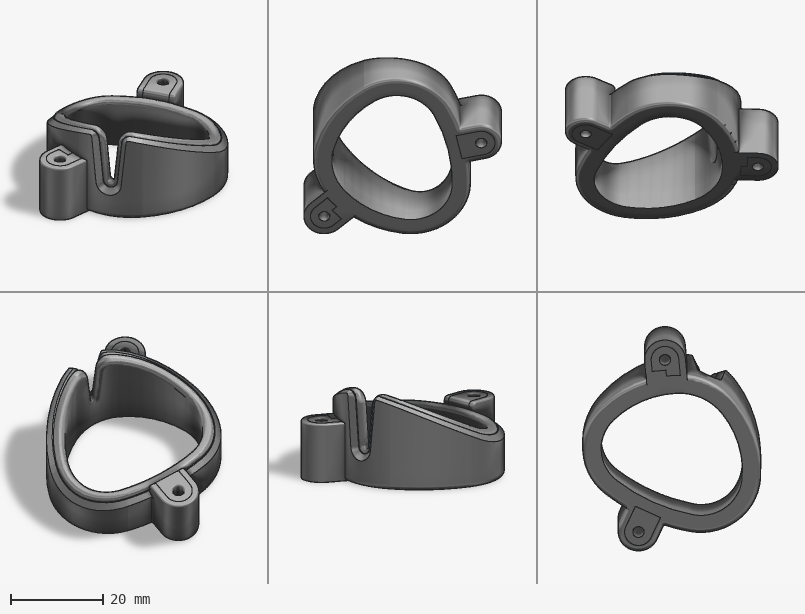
import cadquery as cq
import math

rear_y = 15.25
rear_radius = 42.3
side_radius = 13.0
flank_radius = 24.85
rear_turn = 13.7
side_turn = 110.6
flank_turn = 152.6
wall = 4.0

saddle_y = 7.85
saddle_z = 11.0
saddle_radius = 20.1
saddle_turn = 24.6
climb_radius = 119.25
climb_turn = 12.0
bead_radius = 1.0
rim_chamfer = 1.3
bead_inset = 1.47
shoulder_drop = 1.05
foot_radius = 0.95

slot_tip_z = 7.95
slot_tip_radius = 0.55
slot_lean = 5.5
slot_mouth_radius = 3.0
slot_inner_y = -10.15

lug_height = 13.0
lug_radius = 4.4
lug_edge = 0.4
rear_lug_y = 18.6
rear_lug_face_y = 13.67
rear_lug_nose = 1.0
rear_lug_root = 0.35
front_lug_x = -10.85
front_lug_y = -18.6
front_lug_angle = 30.0
front_core_step = 2.3
core_radius = 3.0
hole_diameter = 2.4
rear_lug_length = rear_lug_y - rear_lug_face_y
front_lug_length = 10.15

reach = 27.62
touch_tolerance = 0.0005


def along(point, angle, distance):
    """Point reached by going `distance` at `angle` degrees, clockwise from +Y."""
    turn = math.radians(angle)
    return (point[0] + distance * math.sin(turn), point[1] + distance * math.cos(turn))


rear_centre = (0.0, rear_y - rear_radius)
side_centre = along(rear_centre, rear_turn, rear_radius - side_radius)
flank_centre = along(side_centre, side_turn, side_radius - flank_radius)
front_radius = flank_radius + flank_centre[0] / math.sin(math.radians(flank_turn))
front_centre = along(flank_centre, flank_turn, flank_radius - front_radius)


def mirrored(point):
    return (-point[0], point[1])


def ring_prism(inset, height):
    """Solid prism of the ring outline, moved inward by `inset`."""
    rear = (0.0, rear_y - inset)
    side_start = along(rear_centre, rear_turn, rear_radius - inset)
    side_middle = along(side_centre, (rear_turn + side_turn) / 2, side_radius - inset)
    side_end = along(side_centre, side_turn, side_radius - inset)
    flank_middle = along(flank_centre, (side_turn + flank_turn) / 2, flank_radius - inset)
    flank_end = along(flank_centre, flank_turn, flank_radius - inset)
    front = along(front_centre, 180, front_radius - inset)
    return (
        cq.Workplane("XY")
        .moveTo(*mirrored(side_start))
        .threePointArc(rear, side_start)
        .threePointArc(side_middle, side_end)
        .threePointArc(flank_middle, flank_end)
        .threePointArc(front, mirrored(flank_end))
        .threePointArc(mirrored(flank_middle), mirrored(side_end))
        .threePointArc(mirrored(side_middle), mirrored(side_start))
        .close()
        .extrude(height)
    )


def above_rim(drop):
    """Everything above the saddle curve, lowered square to itself by `drop`."""
    saddle_centre = (saddle_y, saddle_z + saddle_radius)
    climb_centre = along(saddle_centre, 180 + saddle_turn, saddle_radius - climb_radius)
    saddle_reach = saddle_radius + drop
    climb_reach = climb_radius + drop
    rear = along(saddle_centre, 180 - saddle_turn, saddle_reach)
    bottom = along(saddle_centre, 180, saddle_reach)
    junction = along(saddle_centre, 180 + saddle_turn, saddle_reach)
    climb_middle = along(climb_centre, 180 + saddle_turn + climb_turn / 2, climb_reach)
    climb_end = along(climb_centre, 180 + saddle_turn + climb_turn, climb_reach)
    return (
        cq.Workplane("YZ")
        .moveTo(*rear)
        .threePointArc(bottom, junction)
        .threePointArc(climb_middle, climb_end)
        .lineTo(climb_end[0], 2 * reach)
        .lineTo(rear[0], 2 * reach)
        .close()
        .extrude(reach, both=True)
    )


def slot_prism(drop):
    """The front slot, widened all round by `drop`."""
    radius = slot_tip_radius + drop
    tip_centre = (0.0, slot_tip_z + slot_tip_radius)
    start = along(tip_centre, 90 + slot_lean, radius)
    top = along(start, slot_lean, reach)
    tip = along(tip_centre, 180, radius)
    return (
        cq.Workplane("XZ", origin=(0, slot_inner_y, 0))
        .moveTo(*top)
        .lineTo(*start)
        .threePointArc(tip, mirrored(start))
        .lineTo(*mirrored(top))
        .close()
        .extrude(reach)
    )


def opening(drop):
    """Cutter for the rim and the slot, with the slot mouth rounded into the rim."""
    cutter = above_rim(drop).union(slot_prism(drop))
    return cutter.edges("%ELLIPSE").fillet(slot_mouth_radius - drop)


def rim_edges(body, inset):
    """Edges of `body` along its rim and slot that lie on the ring wall moved inward by `inset`."""
    wall_faces = ring_prism(inset, reach).faces("%CYLINDER").vals()

    def on_wall(point):
        vertex = cq.Vertex.makeVertex(*point.toTuple())
        return min(face.distance(vertex) for face in wall_faces) < touch_tolerance

    above_foot = cq.selectors.BoxSelector((-reach, -reach, foot_radius), (reach, reach, reach))
    return [
        edge
        for edge in body.edges(above_foot).edges("not |Z").vals()
        if all(on_wall(edge.positionAt(share)) for share in (0.2, 0.5, 0.8))
    ]


def lug_prism(radius, length, height):
    """Upright prism with a round end about the Z axis, reaching `length` along +Y."""
    return (
        cq.Workplane("XY")
        .moveTo(-radius, length)
        .lineTo(-radius, 0)
        .threePointArc((0, -radius), (radius, 0))
        .lineTo(radius, length)
        .close()
        .extrude(height)
    )


def place_rear(body):
    return body.rotate((0, 0, 0), (0, 0, 1), 180).translate((0, rear_lug_y, 0))


def place_front(body):
    turned = body.rotate((0, 0, 0), (0, 0, 1), -front_lug_angle)
    return turned.translate((front_lug_x, front_lug_y, 0))


def make_skirt():
    """Outer wall with its rim and slot cut and their outer edges sloped."""
    skirt = ring_prism(0, reach).cut(ring_prism(wall, reach)).cut(opening(shoulder_drop))
    return cq.Workplane(skirt.val().chamfer(rim_chamfer, None, rim_edges(skirt, 0)))


def make_bead():
    """Inner wall that stands above the sloped band, rounded on both edges."""
    bead = ring_prism(bead_inset, reach).cut(ring_prism(wall, reach)).cut(opening(0))
    edges = rim_edges(bead, bead_inset) + rim_edges(bead, wall)
    return cq.Workplane(bead.val().fillet(bead_radius, edges))


def make_rear_lug():
    """Lug with a rounded nose that faces the bead."""
    lug = lug_prism(lug_radius, rear_lug_length, lug_height)
    lug = lug.edges(">Y and >Z").fillet(rear_lug_nose)
    return place_rear(lug.edges(">Z").edges("%CIRCLE").fillet(lug_edge))


def make_front_lug():
    """Lug that runs into the ring wall."""
    lug = lug_prism(lug_radius, front_lug_length, lug_height)
    lug = place_front(lug.edges(">Z").edges("%CIRCLE").fillet(lug_edge))
    return lug.cut(ring_prism(wall / 2, reach))


def make_rear_insert():
    """Full-height insert of the rear lug, sharing its rounded nose."""
    insert = lug_prism(core_radius, rear_lug_length, lug_height)
    return place_rear(insert.edges(">Y and >Z").fillet(rear_lug_nose))


def make_front_insert():
    """Full-height insert whose left half stops short and whose right half reaches the ring wall."""
    insert = lug_prism(core_radius, front_lug_length, lug_height)
    notch = (
        cq.Workplane("XY", origin=(-core_radius, front_core_step, 0))
        .rect(core_radius, front_lug_length, centered=False)
        .extrude(lug_height)
    )
    return place_front(insert.cut(notch)).cut(ring_prism(0, lug_height))


def make_core(insert, place):
    """Insert with its screw hole, whose top edge is rounded."""
    drill = place(cq.Workplane("XY").circle(hole_diameter / 2).extrude(lug_height))
    smallest_circle = cq.selectors.RadiusNthSelector(0)
    return insert.cut(drill).edges(">Z").edges(smallest_circle).fillet(lug_edge)


def make_housing(inserts):
    """Ring with its bead and both lugs, recessed for the inserts."""
    housing = make_skirt().union(make_rear_lug())
    root_box = cq.selectors.BoxSelector(
        (-lug_radius - 0.45, rear_lug_face_y + 0.45, 0), (lug_radius + 0.45, rear_y, lug_height)
    )
    housing = housing.edges(root_box).edges("|Z").fillet(rear_lug_root)
    outer_foot = housing.faces("<Z").val().outerWire()
    housing = cq.Workplane(housing.val().fillet(foot_radius, outer_foot.Edges()))
    housing = housing.union(make_bead()).union(make_front_lug())
    for insert in inserts:
        housing = housing.cut(insert)
    return housing


rear_insert = make_rear_insert()
front_insert = make_front_insert()
housing = make_housing([rear_insert, front_insert])
rear_core = make_core(rear_insert, place_rear)
front_core = make_core(front_insert, place_front)

result = cq.Compound.makeCompound([housing.val(), rear_core.val(), front_core.val()])